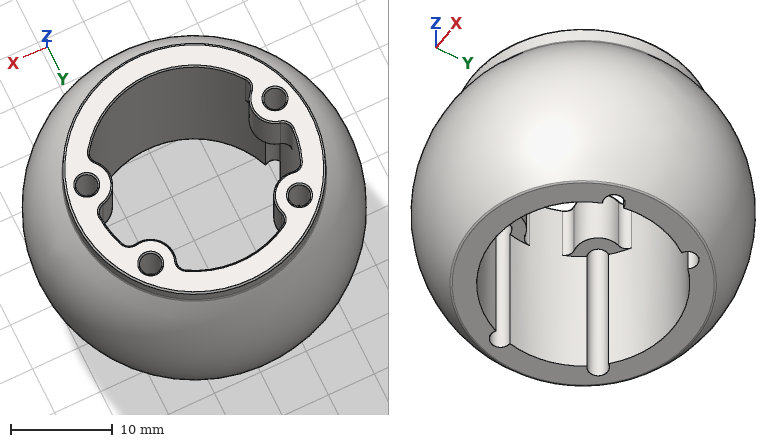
import cadquery as cq
import math

ball_diameter = 33.8
ball_radius = ball_diameter / 2
ball_center_height = 10.8
total_height = 23.8
collar_diameter = 25.78
collar_root_fillet = 0.4
rim_chamfer = 0.2
base_fillet = 0.27

bore_diameter = 20.88
boss_radius = 2.55
boss_depth = 6.95
boss_blend_radius = 1.0
screw_circle_radius = 10.68
screw_hole_diameter = 2.2
upper_screw_angle = 40.7
lower_screw_angle = -16.5
inner_edge_chamfer = 0.17
edge_search_margin = 0.35

screw_angles = [
    upper_screw_angle,
    180 - upper_screw_angle,
    180 - lower_screw_angle,
    lower_screw_angle,
]
screw_points = [
    (
        screw_circle_radius * math.cos(math.radians(angle)),
        screw_circle_radius * math.sin(math.radians(angle)),
    )
    for angle in screw_angles
]


def make_outer_body():
    """Solid ball with a flat base, collar and softened outer edges."""
    collar_radius = collar_diameter / 2
    base_radius = math.sqrt(ball_radius**2 - ball_center_height**2)
    collar_root_height = ball_center_height + math.sqrt(ball_radius**2 - collar_radius**2)
    body = (
        cq.Workplane("XZ")
        .lineTo(base_radius, 0)
        .threePointArc((ball_radius, ball_center_height), (collar_radius, collar_root_height))
        .lineTo(collar_radius, total_height)
        .lineTo(0, total_height)
        .close()
        .revolve(360, (0, 0, 0), (0, 1, 0))
    )
    collar_root = cq.selectors.BoxSelector(
        (-ball_radius, -ball_radius, collar_root_height - edge_search_margin),
        (ball_radius, ball_radius, collar_root_height + edge_search_margin),
    )
    body = body.edges("%CIRCLE").edges(collar_root).fillet(collar_root_fillet)
    body = body.faces("<Z").edges().fillet(base_fillet)
    return body.faces(">Z").edges().chamfer(rim_chamfer)


def make_bore():
    """Through bore whose upper part is notched around the screw bosses."""
    boss_bottom = total_height - boss_depth
    lower_bore = cq.Workplane("XY").circle(bore_diameter / 2).extrude(boss_bottom)
    bosses = (
        cq.Workplane("XY", origin=(0, 0, boss_bottom))
        .pushPoints(screw_points)
        .circle(boss_radius)
        .extrude(boss_depth)
    )
    upper_bore = (
        cq.Workplane("XY", origin=(0, 0, boss_bottom))
        .circle(bore_diameter / 2)
        .extrude(boss_depth)
        .cut(bosses)
        .edges("|Z")
        .fillet(boss_blend_radius)
    )
    return lower_bore.union(upper_bore)


def make_screw_holes():
    """Through holes; below the bosses they run on as grooves in the bore wall."""
    return cq.Workplane("XY").pushPoints(screw_points).circle(screw_hole_diameter / 2).extrude(total_height)


body = make_outer_body().cut(make_bore()).cut(make_screw_holes())

top_inner_wires = body.faces(">Z").val().innerWires()
top_inner_edges = [edge for wire in top_inner_wires for edge in wire.Edges()]
result = body.newObject(top_inner_edges).chamfer(inner_edge_chamfer)